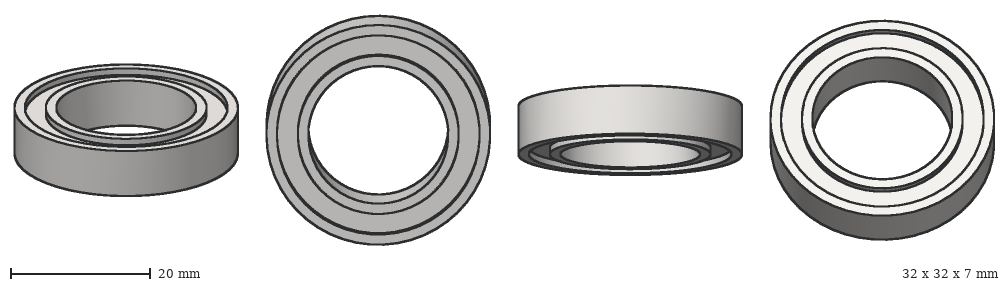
import cadquery as cq

outer_diameter = 32.0
bore_diameter = 20.0
width = 7.0
rim_thickness = 1.5
recess_depth = 1.0

recess_outer_diameter = outer_diameter - 2 * rim_thickness
recess_inner_diameter = bore_diameter + 2 * rim_thickness


def make_ring(large_diameter, small_diameter, height, base_z):
    """Flat ring around the Z axis, standing on base_z."""
    return (
        cq.Workplane("XY", origin=(0, 0, base_z))
        .circle(large_diameter / 2)
        .circle(small_diameter / 2)
        .extrude(height)
    )


body = make_ring(outer_diameter, bore_diameter, width, -width / 2)

for recess_base_z in (width / 2 - recess_depth, -width / 2):
    recess = make_ring(recess_outer_diameter, recess_inner_diameter, recess_depth, recess_base_z)
    body = body.cut(recess)

result = body